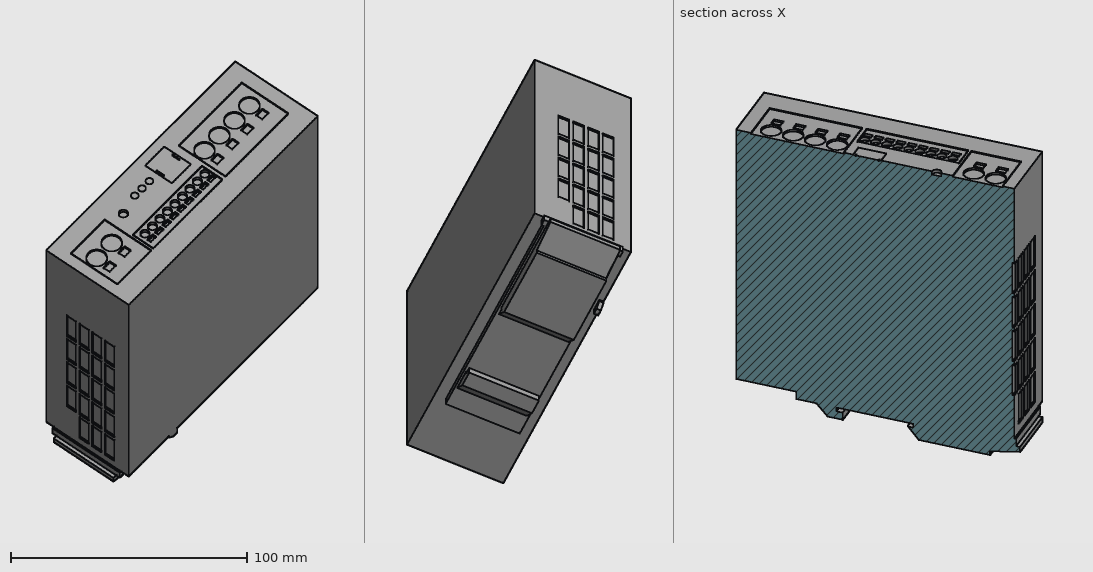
import cadquery as cq

WIDTH = 45.0
DEPTH = 126.7
HEIGHT = 124.6
TOTAL_HEIGHT = 135.7

PLATE_THICKNESS = 3.7
PLATE_REAR_Y = 99.5
PLATE_STEP_Y = 2.0
PLATE_FRONT_Y = -0.8
FLANGE_WIDTH = 36.8
PLATE_WIDTH = 34.6
CLIP_WIDTH = 32.6
LIP_Z = -5.3
FIXED_HOOK_Z = -9.1
LATCH_Z = HEIGHT - TOTAL_HEIGHT
LATCH_FRONT_Y = -2.6
LATCH_FRONT_Z = -6.4
LATCH_STEP_Y = 11.1
LATCH_STEP_Z = -9.2
LATCH_HEEL_Y = 43.5
LATCH_NECK_Y = 46.3
LATCH_TIP_Y = 48.7
HOOK_TIP_Y = 78.2
HOOK_NECK_Y = 81.0
HOOK_HEEL_Y = 85.1
HOOK_REAR_Y = 90.2

LUG_WIDTH = 2.0
LUG_HEIGHT = 3.3
LUG_SHOULDER_HEIGHT = 1.1
LUG_FRONT_Y = 27.1
LUG_LENGTH = 5.4
LUG_SLOPE_LENGTH = 2.7

VENT_WIDTH = 5.2
VENT_HEIGHT = 14.8
VENT_PITCH_X = 6.9
VENT_PITCH_Z = 17.0
VENT_COLUMNS = 4
VENT_ROWS = 5
VENT_LEFT_X = -11.4
VENT_TOP_Z = HEIGHT - 37.5
VENT_DEPTH = 0.8

BLOCK_RIGHT_X = 12.0
BLOCK_DEPTH = 0.5
POWER_BLOCK_WIDTH = 25.4
INPUT_BLOCK_LENGTH = 22.7
INPUT_BLOCK_FRONT_Y = 5.4
SIGNAL_BLOCK_WIDTH = 11.1
SIGNAL_BLOCK_LENGTH = 46.3
SIGNAL_BLOCK_FRONT_Y = 29.5
OUTPUT_BLOCK_LENGTH = 42.2
OUTPUT_BLOCK_FRONT_Y = 77.8

POWER_PITCH = 10.0
POWER_HOLE_X = -3.7
POWER_HOLE_DIAMETER = 8.8
POWER_SLOT_X = 3.4
POWER_SLOT_WIDTH = 3.4
POWER_SLOT_LENGTH = 4.3
POWER_HOLE_DEPTH = 1.0
INPUT_COUNT = 2
INPUT_FIRST_Y = 10.7
OUTPUT_COUNT = 4
OUTPUT_FIRST_Y = 82.9

SIGNAL_PITCH = 5.0
SIGNAL_COUNT = 9
SIGNAL_FIRST_Y = 33.4
SIGNAL_HOLE_X = 4.2
SIGNAL_HOLE_DIAMETER = 4.1
SIGNAL_SLOT_X = 7.9
SIGNAL_SLOT_WIDTH = 1.9
SIGNAL_SLOT_LENGTH = 3.7
SIGNAL_HOLE_DEPTH = 1.6

WINDOW_X = -10.6
WINDOW_Y = 67.0
WINDOW_WIDTH = 14.5
WINDOW_LENGTH = 12.8
WINDOW_DEPTH = 0.1
NOTCH_SPACING = 10.6
NOTCH_WIDTH = 4.1
NOTCH_LENGTH = 0.3
NOTCH_DEPTH = 0.5
LAMP_X = -11.4
LAMP_FIRST_Y = 45.7
LAMP_PITCH = 4.9
LAMP_COUNT = 3
LAMP_DIAMETER = 3.3
LAMP_DEPTH = 0.1
ADJUSTER_X = -9.2
ADJUSTER_Y = 35.4
ADJUSTER_DIAMETER = 4.1
ADJUSTER_DEPTH = 1.6


def box(width, length, height, x, front_y, bottom_z):
    """Box centred on x, running back from front_y and up from bottom_z."""
    return (
        cq.Workplane("XY")
        .box(width, length, height, centered=(True, False, False))
        .translate((x, front_y, bottom_z))
    )


def top_pocket(width, length, depth, x, front_y, surface_z=HEIGHT):
    """Rectangular cutter sunk below surface_z."""
    return box(width, length, depth, x, front_y, surface_z - depth)


def top_hole(diameter, depth, x, y, surface_z=HEIGHT):
    """Round cutter sunk below surface_z."""
    return cq.Workplane("XY", origin=(x, y, surface_z - depth)).circle(diameter / 2).extrude(depth)


def clip(outline):
    """Side outline of (y, z) points extruded across the clip width."""
    return cq.Workplane("YZ").polyline(outline).close().extrude(CLIP_WIDTH / 2, both=True)


def mounting_foot():
    plate_length = PLATE_REAR_Y - PLATE_STEP_Y
    plate = box(PLATE_WIDTH, plate_length, PLATE_THICKNESS, 0, PLATE_STEP_Y, -PLATE_THICKNESS)
    flange_length = PLATE_STEP_Y - PLATE_FRONT_Y
    flange = box(FLANGE_WIDTH, flange_length, PLATE_THICKNESS, 0, PLATE_FRONT_Y, -PLATE_THICKNESS)
    fixed_hook = clip([
        (HOOK_REAR_Y, -PLATE_THICKNESS),
        (HOOK_HEEL_Y, FIXED_HOOK_Z),
        (HOOK_TIP_Y, FIXED_HOOK_Z),
        (HOOK_TIP_Y, LIP_Z),
        (HOOK_NECK_Y, LIP_Z),
        (HOOK_NECK_Y, -PLATE_THICKNESS),
    ])
    latch = clip([
        (LATCH_NECK_Y, -PLATE_THICKNESS),
        (LATCH_NECK_Y, LIP_Z),
        (LATCH_TIP_Y, LIP_Z),
        (LATCH_HEEL_Y, LATCH_Z),
        (LATCH_STEP_Y, LATCH_Z),
        (LATCH_STEP_Y, LATCH_STEP_Z),
        (LATCH_FRONT_Y, LATCH_FRONT_Z),
        (LATCH_FRONT_Y, -PLATE_THICKNESS),
    ])
    return plate.union(flange).union(fixed_hook).union(latch)


def lug():
    rear_y = LUG_FRONT_Y + LUG_LENGTH
    outline = [
        (LUG_FRONT_Y, 0),
        (LUG_FRONT_Y, -LUG_SHOULDER_HEIGHT),
        (LUG_FRONT_Y + LUG_SLOPE_LENGTH, -LUG_HEIGHT),
        (rear_y, -LUG_HEIGHT),
        (rear_y, 0),
    ]
    left_x = WIDTH / 2 - LUG_WIDTH
    return cq.Workplane("YZ", origin=(left_x, 0, 0)).polyline(outline).close().extrude(LUG_WIDTH)


def cut_vents(body):
    for row in range(VENT_ROWS):
        bottom_z = VENT_TOP_Z - VENT_HEIGHT - row * VENT_PITCH_Z
        first_column = 1 if row == VENT_ROWS - 1 else 0
        for column in range(first_column, VENT_COLUMNS):
            x = VENT_LEFT_X + VENT_WIDTH / 2 + column * VENT_PITCH_X
            body = body.cut(box(VENT_WIDTH, VENT_DEPTH, VENT_HEIGHT, x, 0, bottom_z))
    return body


def cut_block(body, width, length, front_y):
    x = BLOCK_RIGHT_X - width / 2
    return body.cut(top_pocket(width, length, BLOCK_DEPTH, x, front_y))


def cut_terminal(body, y, depth, hole_x, hole_diameter, slot_x, slot_width, slot_length):
    """Round entry and rectangular slot side by side, sunk into a block floor."""
    floor_z = HEIGHT - BLOCK_DEPTH
    hole = top_hole(hole_diameter, depth, hole_x, y, floor_z)
    slot = top_pocket(slot_width, slot_length, depth, slot_x, y - slot_length / 2, floor_z)
    return body.cut(hole).cut(slot)


def cut_power_terminals(body, count, first_y):
    for index in range(count):
        body = cut_terminal(
            body,
            first_y + index * POWER_PITCH,
            POWER_HOLE_DEPTH,
            POWER_HOLE_X,
            POWER_HOLE_DIAMETER,
            POWER_SLOT_X,
            POWER_SLOT_WIDTH,
            POWER_SLOT_LENGTH,
        )
    return body


def cut_signal_terminals(body):
    for index in range(SIGNAL_COUNT):
        body = cut_terminal(
            body,
            SIGNAL_FIRST_Y + index * SIGNAL_PITCH,
            SIGNAL_HOLE_DEPTH,
            SIGNAL_HOLE_X,
            SIGNAL_HOLE_DIAMETER,
            SIGNAL_SLOT_X,
            SIGNAL_SLOT_WIDTH,
            SIGNAL_SLOT_LENGTH,
        )
    return body


def cut_window(body):
    front_y = WINDOW_Y - WINDOW_LENGTH / 2
    body = body.cut(top_pocket(WINDOW_WIDTH, WINDOW_LENGTH, WINDOW_DEPTH, WINDOW_X, front_y))
    for side in (-1, 1):
        notch_front_y = WINDOW_Y + side * NOTCH_SPACING / 2 - NOTCH_LENGTH / 2
        body = body.cut(top_pocket(NOTCH_WIDTH, NOTCH_LENGTH, NOTCH_DEPTH, WINDOW_X, notch_front_y))
    return body


def cut_lamps_and_adjuster(body):
    for index in range(LAMP_COUNT):
        y = LAMP_FIRST_Y + index * LAMP_PITCH
        body = body.cut(top_hole(LAMP_DIAMETER, LAMP_DEPTH, LAMP_X, y))
    return body.cut(top_hole(ADJUSTER_DIAMETER, ADJUSTER_DEPTH, ADJUSTER_X, ADJUSTER_Y))


housing = box(WIDTH, DEPTH, HEIGHT, 0, 0, 0)
housing = cut_vents(housing)
housing = cut_block(housing, POWER_BLOCK_WIDTH, INPUT_BLOCK_LENGTH, INPUT_BLOCK_FRONT_Y)
housing = cut_block(housing, SIGNAL_BLOCK_WIDTH, SIGNAL_BLOCK_LENGTH, SIGNAL_BLOCK_FRONT_Y)
housing = cut_block(housing, POWER_BLOCK_WIDTH, OUTPUT_BLOCK_LENGTH, OUTPUT_BLOCK_FRONT_Y)
housing = cut_power_terminals(housing, INPUT_COUNT, INPUT_FIRST_Y)
housing = cut_power_terminals(housing, OUTPUT_COUNT, OUTPUT_FIRST_Y)
housing = cut_signal_terminals(housing)
housing = cut_window(housing)
housing = cut_lamps_and_adjuster(housing)

result = housing.union(mounting_foot()).union(lug())